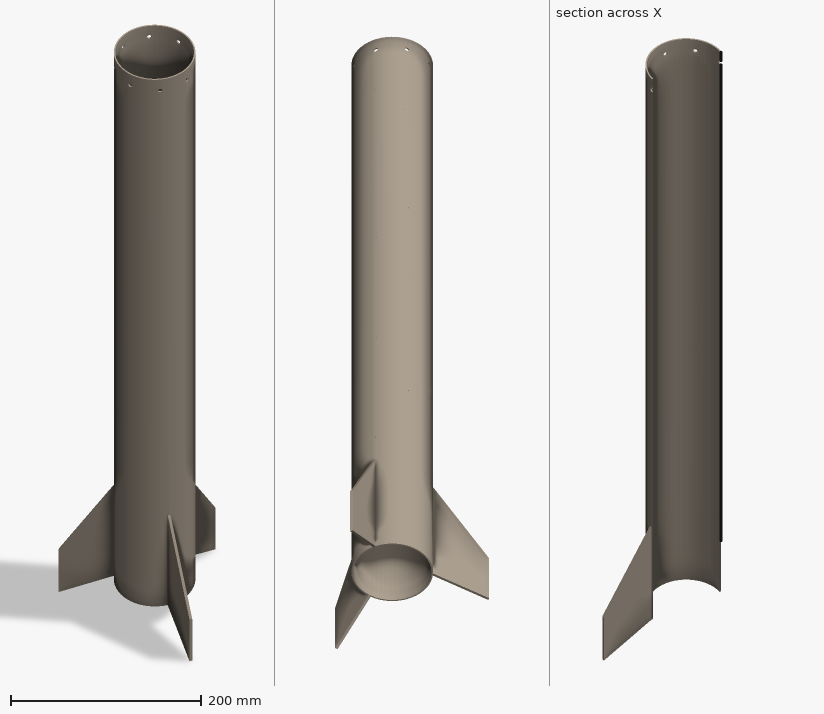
import cadquery as cq
import math

total_height = 780
tube_radius = 43.0
tube_wall = 1.5
tail_overhang = 30.5

fin_count = 3
fin_thickness = 3.0
fin_span_width = 178.0
fin_tip_top = 59.0
fin_root_top = 159.0
first_fin_angle = 90
fin_side = -1

hole_count = 8
hole_diameter = 5.0
hole_drop = 15.5

lower_fin_slope = math.radians(30)
fin_tip_radius = (
    fin_span_width - fin_thickness * math.sin(lower_fin_slope)
) / (2 * math.cos(lower_fin_slope))
tube_inner_radius = tube_radius - tube_wall


def make_tube():
    return (
        cq.Workplane("XY")
        .workplane(offset=tail_overhang)
        .circle(tube_radius)
        .circle(tube_inner_radius)
        .extrude(total_height - tail_overhang)
    )


def make_fin(angle):
    """Swept plate whose root is buried in the tube wall."""
    root_radius = tube_radius - tube_wall / 2
    return (
        cq.Workplane("XZ")
        .moveTo(root_radius, tail_overhang)
        .lineTo(fin_tip_radius, 0)
        .lineTo(fin_tip_radius, fin_tip_top)
        .lineTo(root_radius, fin_root_top)
        .close()
        .extrude(-fin_side * fin_thickness)
        .rotate((0, 0, 0), (0, 0, 1), angle)
    )


def make_rim_hole(angle):
    """Radial cutter that passes through one side of the tube."""
    return (
        cq.Workplane("YZ")
        .center(0, total_height - hole_drop)
        .circle(hole_diameter / 2)
        .extrude(2 * tube_radius)
        .rotate((0, 0, 0), (0, 0, 1), angle)
    )


result = make_tube()
for index in range(fin_count):
    result = result.union(make_fin(first_fin_angle + index * 360 / fin_count))
for index in range(hole_count):
    result = result.cut(make_rim_hole(index * 360 / hole_count))